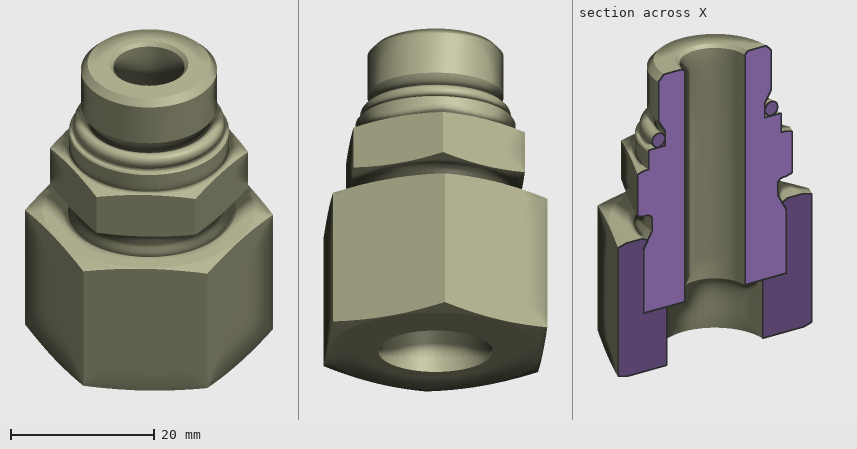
import cadquery as cq
import math


TOTAL_HEIGHT = 45.0
STUD_BOTTOM = 38.02
STUD_TAPER_BOTTOM = 36.15
COLLAR_TOP = 33.98
HEX_TOP = 31.0
HEX_BOTTOM = 23.95
NECK_BOTTOM = 21.7
NUT_TOP = 20.6
NUT_SHOULDER = 9.0

STUD_DIAMETER = 19.05
STUD_CHAMFER = 0.95
BORE_DIAMETER = 10.0
BORE_CHAMFER = 0.5
GROOVE_DIAMETER = 16.75
GROOVE_FILLET = 0.9
COLLAR_DIAMETER = 22.35
COLLAR_CHAMFER = 0.2
NECK_DIAMETER = 21.1
NECK_FILLET = 0.9
SHANK_DIAMETER = 24.0
SHANK_TAPER_ANGLE = math.radians(30)

HEX_ACROSS_FLATS = 24.0
NUT_ACROSS_FLATS = 30.0
HEX_TURN = 7.4
HEX_CORNER_ANGLE = math.radians(15)
HEX_FACE_RATIO = 0.99

O_RING_SECTION = (NECK_DIAMETER - GROOVE_DIAMETER) / 2

COUNTERSINK_DIAMETER = 24.3
COUNTERSINK_SLOPE = math.radians(30)
TUBE_HOLE_DIAMETER = 16.0


def cylinder(diameter, bottom, top):
    """Cylinder on the Z axis between two levels."""
    return cq.Workplane("XY").workplane(offset=bottom).circle(diameter / 2).extrude(top - bottom)


def chamfered_hexagon(across_flats, bottom, top):
    """Hexagonal prism with its corners turned to a cone at both ends."""
    corner_radius = across_flats / math.sqrt(3)
    face_radius = HEX_FACE_RATIO * across_flats / 2
    drop = (corner_radius - face_radius) * math.tan(HEX_CORNER_ANGLE)
    prism = (
        cq.Workplane("XY")
        .workplane(offset=bottom)
        .polygon(6, 2 * corner_radius)
        .extrude(top - bottom)
        .rotate((0, 0, 0), (0, 0, 1), 90 + HEX_TURN)
    )
    envelope = (
        cq.Workplane("XZ")
        .moveTo(0, bottom)
        .lineTo(face_radius, bottom)
        .lineTo(corner_radius, bottom + drop)
        .lineTo(corner_radius, top - drop)
        .lineTo(face_radius, top)
        .lineTo(0, top)
        .close()
        .revolve(360, (0, 0, 0), (0, 1, 0))
    )
    return prism.intersect(envelope)


def make_stud():
    """Stud with a chamfered tip, tapering down to the groove that holds the O-ring."""
    stud_radius = STUD_DIAMETER / 2
    groove_radius = GROOVE_DIAMETER / 2
    stud = (
        cq.Workplane("XZ")
        .moveTo(0, COLLAR_TOP)
        .lineTo(groove_radius, COLLAR_TOP)
        .lineTo(groove_radius, STUD_TAPER_BOTTOM)
        .lineTo(stud_radius, STUD_BOTTOM)
        .lineTo(stud_radius, TOTAL_HEIGHT - STUD_CHAMFER)
        .lineTo(stud_radius - STUD_CHAMFER, TOTAL_HEIGHT)
        .lineTo(0, TOTAL_HEIGHT)
        .close()
        .revolve(360, (0, 0, 0), (0, 1, 0))
    )
    groove_edges = stud.edges(cq.selectors.RadiusNthSelector(0))
    return groove_edges.edges(">Z").fillet(GROOVE_FILLET)


def make_shank():
    """Neck filleted into the hexagon above, flaring down into the shank inside the nut."""
    neck_radius = NECK_DIAMETER / 2
    shank_radius = SHANK_DIAMETER / 2
    fillet_center = neck_radius + NECK_FILLET
    mid_fillet_angle = math.radians(45)

    def fillet_point(center_level, angle):
        """Point on a neck fillet; the angle rises from where the fillet leaves the neck."""
        return (
            fillet_center - NECK_FILLET * math.cos(angle),
            center_level + NECK_FILLET * math.sin(angle),
        )

    upper_center = HEX_BOTTOM - NECK_FILLET
    flare_start = fillet_point(NECK_BOTTOM, -SHANK_TAPER_ANGLE)
    flare_bottom = flare_start[1] - (shank_radius - flare_start[0]) / math.tan(SHANK_TAPER_ANGLE)
    return (
        cq.Workplane("XZ")
        .moveTo(0, HEX_BOTTOM)
        .lineTo(fillet_center, HEX_BOTTOM)
        .threePointArc(fillet_point(upper_center, mid_fillet_angle), (neck_radius, upper_center))
        .lineTo(neck_radius, NECK_BOTTOM)
        .threePointArc(fillet_point(NECK_BOTTOM, -SHANK_TAPER_ANGLE / 2), flare_start)
        .lineTo(shank_radius, flare_bottom)
        .lineTo(shank_radius, NUT_SHOULDER)
        .lineTo(0, NUT_SHOULDER)
        .close()
        .revolve(360, (0, 0, 0), (0, 1, 0))
    )


def make_fitting_body(shank):
    """Stud, collar, hexagon and shank in one piece, with a bore along the axis."""
    collar = cylinder(COLLAR_DIAMETER, HEX_TOP, COLLAR_TOP).faces(">Z").chamfer(COLLAR_CHAMFER)
    hexagon = chamfered_hexagon(HEX_ACROSS_FLATS, HEX_BOTTOM, HEX_TOP)
    body = make_stud().union(collar).union(hexagon).union(shank)
    bore = cylinder(BORE_DIAMETER, NUT_SHOULDER, TOTAL_HEIGHT)
    bore_radius = BORE_DIAMETER / 2
    mouth_bottom = cq.Vector(0, 0, TOTAL_HEIGHT - BORE_CHAMFER)
    bore_mouth = cq.Workplane("XY").add(
        cq.Solid.makeCone(bore_radius, bore_radius + BORE_CHAMFER, BORE_CHAMFER, mouth_bottom)
    )
    return body.cut(bore).cut(bore_mouth)


def make_o_ring():
    """Round-section ring in the groove, lying on the collar."""
    ring_radius = (GROOVE_DIAMETER + O_RING_SECTION) / 2
    section_radius = O_RING_SECTION / 2
    return cq.Workplane("XY").add(
        cq.Solid.makeTorus(ring_radius, section_radius, cq.Vector(0, 0, COLLAR_TOP + section_radius))
    )


def make_union_nut(shank):
    """Hexagonal nut: a countersunk cavity that closely fits the shank, and a tube hole below it."""
    nut = chamfered_hexagon(NUT_ACROSS_FLATS, 0, NUT_TOP)
    countersink_radius = COUNTERSINK_DIAMETER / 2
    countersink_depth = countersink_radius * math.tan(COUNTERSINK_SLOPE)
    countersink_tip = cq.Vector(0, 0, NUT_TOP - countersink_depth)
    countersink = cq.Workplane("XY").add(
        cq.Solid.makeCone(0, countersink_radius, countersink_depth, countersink_tip)
    )
    tube_hole = cylinder(TUBE_HOLE_DIAMETER, 0, NUT_SHOULDER)
    return nut.cut(shank).cut(countersink).cut(tube_hole)


shank = make_shank()
fitting_body = make_fitting_body(shank)
o_ring = make_o_ring()
union_nut = make_union_nut(shank)

result = cq.Compound.makeCompound([fitting_body.val(), o_ring.val(), union_nut.val()])